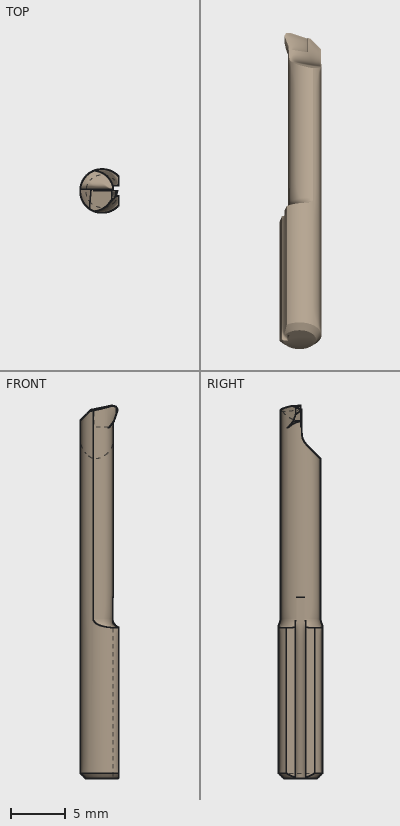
import cadquery as cq
import math

length = 34.0
shank_radius = 2.0
bottom_chamfer = 0.5
flat_x = 1.53
slot_width = 0.92
slot_floor_x = 1.0
slot_end_z = 16.52

neck_radius = 1.85
neck_center_x = -0.8
shoulder_z = 13.75
shoulder_fillet = 0.8

rake_y = 0.15
rake_corner_z = 30.85
runout_fillet = 1.43
relief_angle = 4.0
back_chamfer_z = 32.6
back_end_z = 33.4
margin = 0.68

nose_high = (0.9, length)
nose_bevel = (1.25, 33.9)
nose_tip = (1.43, 33.6)
nose_heel = (1.1, 32.6)
nose_root = (0.65, 32.05)

nose_side = (1.3, -0.45)
nose_side_root = (
    neck_center_x + neck_radius * math.sqrt(0.5),
    -neck_radius * math.sqrt(0.5),
)

rake_step_depth = 0.1
rake_step_x = -0.75


def make_shank():
    shank = cq.Workplane("XY").circle(shank_radius).extrude(length)
    shank = shank.faces("<Z").chamfer(bottom_chamfer)
    flat = cq.Workplane("XY").box(shank_radius, 4 * shank_radius, length, centered=(False, True, False))
    slot = cq.Workplane("XY").box(shank_radius, slot_width, slot_end_z, centered=(False, True, False))
    return shank.cut(flat.translate((flat_x, 0, 0))).cut(slot.translate((slot_floor_x, 0, 0)))


def make_neck_relief():
    """Ring removed around the neck, with a concave fillet at the shoulder."""
    outer_radius = neck_radius + 2 * shank_radius
    fillet_center_r = neck_radius + shoulder_fillet
    fillet_center_z = shoulder_z + shoulder_fillet
    offset = shoulder_fillet * math.sqrt(0.5)
    return (
        cq.Workplane("XZ")
        .moveTo(neck_radius, length + margin)
        .lineTo(neck_radius, fillet_center_z)
        .threePointArc(
            (fillet_center_r - offset, fillet_center_z - offset),
            (fillet_center_r, shoulder_z),
        )
        .lineTo(outer_radius, shoulder_z)
        .lineTo(outer_radius, length + margin)
        .close()
        .revolve(360, (0, 0, 0), (0, 1, 0))
        .translate((neck_center_x, 0, 0))
    )


def make_rake_cut():
    """Half of the bar removed above the rake face, down a filleted 45 degree run-out."""
    reach = 2 * shank_radius
    return (
        cq.Workplane("YZ")
        .polyline([
            (rake_y, length + margin),
            (rake_y, rake_corner_z),
            (rake_y + reach, rake_corner_z - reach),
            (rake_y + reach, length + margin),
        ])
        .close()
        .extrude(reach, both=True)
        .edges("|X")
        .edges(cq.selectors.NearestToPointSelector((0, rake_y, rake_corner_z)))
        .fillet(runout_fillet)
    )


def relieved_prism(points):
    """Extrude an X-Z outline from the stepped rake face toward -Y, falling by the relief angle."""
    slope = math.radians(relief_angle)
    plane = cq.Plane(
        origin=(0, rake_y - rake_step_depth, 0),
        xDir=(1, 0, 0),
        normal=(0, -math.cos(slope), -math.sin(slope)),
    )
    local = [(x, z * math.cos(slope)) for x, z in points]
    return cq.Workplane(plane).polyline(local).close().extrude(3 * shank_radius, both=True)


def make_nose():
    """Cutting nose that overhangs the neck on the +X side."""
    plan = (
        cq.Workplane("XY", origin=(0, 0, nose_root[1] - margin))
        .polyline([(0, rake_y), (nose_tip[0], rake_y), nose_side, nose_side_root, (0, nose_side_root[1])])
        .close()
        .extrude(length)
    )
    outline = [(0, nose_root[1]), nose_root, nose_heel, nose_tip, (nose_tip[0], length), (0, length)]
    return plan.intersect(relieved_prism(outline))


def make_end_cut():
    """Space above the sloping end face and the bevelled nose corner."""
    left = -shank_radius
    right = nose_tip[0] + margin
    top = length + margin
    return relieved_prism(
        [(left, back_end_z), nose_high, nose_bevel, nose_tip, (right, nose_tip[1]), (right, top), (left, top)]
    )


def make_back_chamfer():
    rise = length + margin - back_chamfer_z
    return (
        cq.Workplane("XZ")
        .polyline([
            (-shank_radius, back_chamfer_z),
            (-shank_radius + rise, back_chamfer_z + rise),
            (-shank_radius, back_chamfer_z + rise),
        ])
        .close()
        .extrude(2 * shank_radius, both=True)
    )


def make_rake_step():
    step = cq.Workplane("XY").box(2 * shank_radius, shank_radius, length, centered=False)
    return step.translate((rake_step_x, rake_y - rake_step_depth, nose_root[1]))


body = make_shank().cut(make_neck_relief()).cut(make_rake_cut())
body = body.union(make_nose())
result = body.cut(make_end_cut()).cut(make_back_chamfer()).cut(make_rake_step())